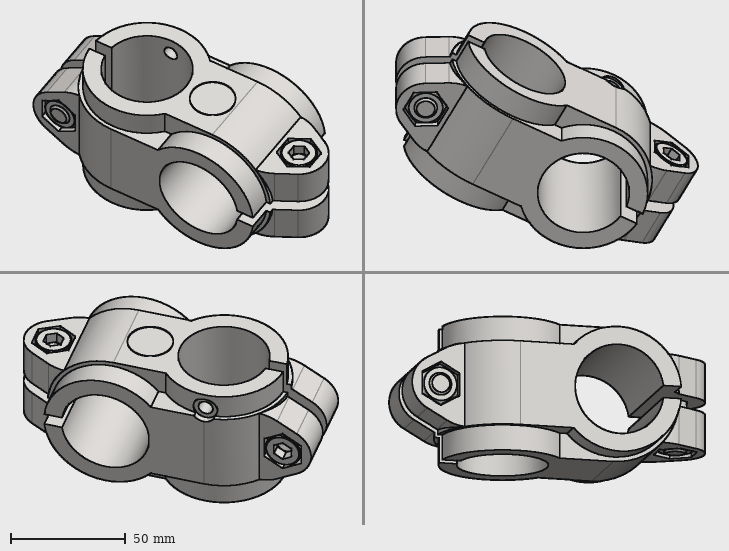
import cadquery as cq
import math

overall_length = 137.0
bore_spacing = 45.0
bore_dia = 40.0
ring_dia = 56.0
hub_dia = 60.0
hub_height = 37.5
slot_width = 5.5

ear_width = 40.0
ear_tip_radius = 13.0
ear_root_radius = hub_height / 2
ear_root_offset = 11.8
bolt_x = -overall_length / 2 + ear_tip_radius
clearance_dia = 10.5
pocket_corner_dia = 19.6
nut_pocket_depth = 9.0

shank_dia = 10.0
tip_dia = 8.0
head_dia = 16.0
head_height = 10.0
head_chamfer = 0.5
socket_flats = 8.0
socket_depth = 5.0
socket_cone_height = 2.2
nut_flats = 16.0
nut_height = 8.0
nut_face_dia = 15.9
nut_rim_chamfer = 0.5
nut_chamfer_angle = 30.0

screw_hole_dia = 6.6
screw_counterbore_dia = 11.0
screw_counterbore_depth = 3.0
screw_hole_z = 22.0

label_dia = 20.0
label_x = bore_spacing / 4
label_depth = 0.4

bore_x = -bore_spacing / 2
ear_face = ear_width / 2
head_seat = ear_face - head_height
nut_seat = -ear_face + nut_pocket_depth


def hex_corner_dia(flats):
    return flats / math.cos(math.radians(30))


def along_y(start, x=bolt_x, z=0.0):
    """Workplane facing +Y at the given Y, with local X along Z and local Y along X."""
    return cq.Workplane(cq.Plane(origin=(x, start, z), xDir=(0, 0, 1), normal=(0, 1, 0)))


def cylinder_y(dia, start, end, x=bolt_x, z=0.0):
    return along_y(start, x, z).circle(dia / 2).extrude(end - start)


def hexagon_y(corner_dia, start, end):
    """Hexagonal prism on the bolt axis with two corners pointing along Z."""
    return along_y(start).polygon(6, corner_dia).extrude(end - start)


def turned_to_second_clamp(shape):
    """Half turn about the (0, 1, 1) diagonal: X -> -X, Y <-> Z."""
    return shape.rotate((0, 0, 0), (0, 1, 1), 180)


def clamp_blank():
    """Ring, hub and the hub's straight run into the other clamp's ring."""
    ring = cq.Workplane("XY").center(bore_x, 0).circle(ring_dia / 2).extrude(hub_dia / 2, both=True)
    hub = cq.Workplane("XY").center(bore_x, 0).circle(hub_dia / 2).extrude(hub_height / 2, both=True)
    run = cq.Workplane("XY").box(bore_spacing, hub_dia, hub_height)
    return ring.union(hub).union(run)


def clamp_ear():
    """Tapered ear: tip arc and root arc joined by their common tangents, then straight to the bore."""
    slope = math.asin((ear_root_radius - ear_tip_radius) / ear_root_offset)
    root_x = bolt_x + ear_root_offset
    tip_tangent = (bolt_x - ear_tip_radius * math.sin(slope), ear_tip_radius * math.cos(slope))
    root_tangent = (root_x - ear_root_radius * math.sin(slope), ear_root_radius * math.cos(slope))
    root_mid = (
        root_x - ear_root_radius * math.sin(slope / 2),
        ear_root_radius * math.cos(slope / 2),
    )
    return (
        cq.Workplane("XZ")
        .moveTo(*tip_tangent)
        .lineTo(*root_tangent)
        .threePointArc(root_mid, (root_x, ear_root_radius))
        .lineTo(bore_x, ear_root_radius)
        .lineTo(bore_x, -ear_root_radius)
        .lineTo(root_x, -ear_root_radius)
        .threePointArc((root_mid[0], -root_mid[1]), (root_tangent[0], -root_tangent[1]))
        .lineTo(tip_tangent[0], -tip_tangent[1])
        .threePointArc((bolt_x - ear_tip_radius, 0), tip_tangent)
        .close()
        .extrude(ear_width / 2, both=True)
    )


def clamp_cuts():
    """Bore, split slot, bolt clearance hole and the hexagonal pockets for head and nut."""
    bore = cq.Workplane(cq.Plane(origin=(bore_x, 0, 0), xDir=(-1, 0, 0), normal=(0, 0, 1)))
    bore = bore.circle(bore_dia / 2).extrude(hub_dia, both=True)
    slot = cq.Workplane("XY").box(overall_length, slot_width, 2 * hub_dia)
    slot = slot.translate((bore_x - overall_length / 2, 0, 0))
    clearance = cylinder_y(clearance_dia, -ear_face, ear_face)
    head_pocket = hexagon_y(pocket_corner_dia, head_seat, ear_face)
    nut_pocket = hexagon_y(pocket_corner_dia, -ear_face, nut_seat)
    return bore.union(slot).union(clearance).union(head_pocket).union(nut_pocket)


def make_housing():
    solid = clamp_blank().union(clamp_ear())
    solid = solid.union(turned_to_second_clamp(solid))
    cuts = clamp_cuts()
    solid = solid.cut(cuts).cut(turned_to_second_clamp(cuts))

    outer_face = hub_dia / 2
    screw_hole = cylinder_y(screw_hole_dia, 0, outer_face, bore_x, screw_hole_z)
    counterbore = cylinder_y(
        screw_counterbore_dia, outer_face - screw_counterbore_depth, outer_face, bore_x, screw_hole_z
    )
    label = (
        cq.Workplane("XY", origin=(label_x, 0, outer_face))
        .circle(label_dia / 2)
        .extrude(-label_depth)
    )
    return solid.cut(screw_hole).cut(counterbore).cut(label)


def make_bolt():
    """Socket head bolt, head towards +Y, with both ends flush with the ear faces."""
    head = cylinder_y(head_dia, head_seat, ear_face).faces(">Y").chamfer(head_chamfer)
    shank = cylinder_y(shank_dia, -ear_face, head_seat).faces("<Y").chamfer((shank_dia - tip_dia) / 2)
    socket_floor = ear_face - socket_depth
    socket = hexagon_y(hex_corner_dia(socket_flats), socket_floor, ear_face)
    drill_point = cq.Workplane(
        cq.Solid.makeCone(
            socket_flats / 2, 0, socket_cone_height,
            pnt=cq.Vector(bolt_x, socket_floor, 0), dir=cq.Vector(0, -1, 0),
        )
    )
    return head.union(shank).cut(socket).cut(drill_point)


def make_nut():
    """Hexagon nut with conically chamfered corners and a small rim chamfer on its outer face."""
    corner_dia = hex_corner_dia(nut_flats)
    corner_radius = corner_dia / 2
    face_radius = nut_face_dia / 2
    outer_end = nut_seat - nut_height
    rim = outer_end + nut_rim_chamfer
    corner_drop = (corner_radius - face_radius) * math.tan(math.radians(nut_chamfer_angle))
    envelope = (
        cq.Workplane("XY", origin=(bolt_x, 0, 0))
        .moveTo(0, outer_end)
        .lineTo(face_radius - nut_rim_chamfer, outer_end)
        .lineTo(face_radius, rim)
        .lineTo(corner_radius, rim + corner_drop)
        .lineTo(corner_radius, nut_seat)
        .lineTo(0, nut_seat)
        .close()
        .revolve(360, (0, 0), (0, 1))
    )
    nut = hexagon_y(corner_dia, outer_end, nut_seat).intersect(envelope)
    return nut.cut(cylinder_y(shank_dia, outer_end, nut_seat))


housing = make_housing()
fasteners = []
for make_fastener in (make_bolt, make_nut):
    fastener = make_fastener()
    fasteners.append(fastener.val())
    fasteners.append(turned_to_second_clamp(fastener).val())

result = cq.Compound.makeCompound([housing.val(), *fasteners])